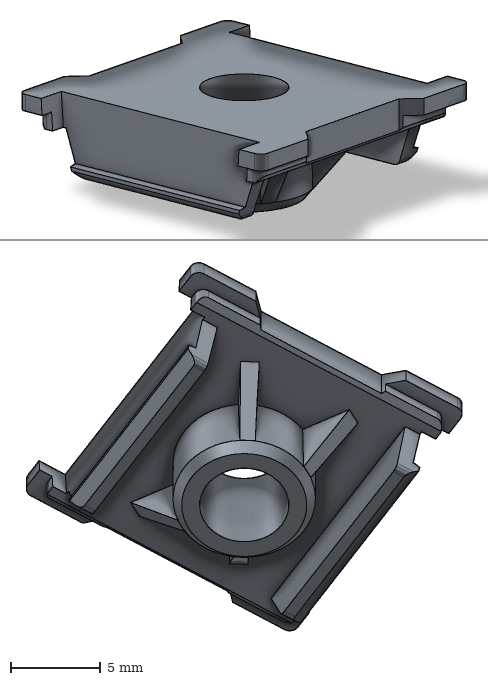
import cadquery as cq
import math

plate_size = 18.0
plate_thickness = 0.99
corner_radius = 0.54
waist_half_width = 8.01
waist_half_length = 4.01
ear_step = plate_size / 2 - waist_half_width

base_size = 16.35
base_depth = 2.09
base_chamfer = 0.4

notch_top_half_width = 7.3
notch_bottom_half_width = 7.16
notch_floor_y = 7.25

snap_bottom_z = -4.9
snap_inner_top_y = 6.26
snap_inner_bottom_y = 6.32
snap_top_half_width = 6.97
snap_bottom_half_width = 5.98
snap_corner_radius = 0.45
lip_y = 7.7
lip_root_z = -4.03
lip_top_z = -4.12
lip_bottom_z = -4.35
lip_toe_y = 7.02

boss_radius = 4.0
boss_bottom_z = -6.25
boss_chamfer_height = 0.61
boss_chamfer_width = 0.49
bore_radius = 2.5
gusset_angle = 30.0
gusset_top_reach = 6.91
gusset_top_thickness = 1.05
gusset_bottom_thickness = 0.86
gusset_bottom_z = boss_bottom_z + boss_chamfer_height


def make_layer(size, depth):
    """Rounded square, waisted on both X sides, from Z = 0 downward."""
    layer = cq.Workplane("XY").rect(size, size).extrude(-depth)
    layer = layer.edges("|Z").fillet(corner_radius)
    outer_x = plate_size / 2
    ear_half_length = waist_half_length + ear_step
    for side in (-1, 1):
        waist = (
            cq.Workplane("XY")
            .moveTo(side * outer_x, -ear_half_length)
            .lineTo(side * waist_half_width, -waist_half_length)
            .lineTo(side * waist_half_width, waist_half_length)
            .lineTo(side * outer_x, ear_half_length)
            .close()
            .extrude(-depth)
        )
        layer = layer.cut(waist)
    return layer


def make_base():
    """Lower layer with its bottom edges chamfered along Y."""
    half = base_size / 2
    chamfered_section = (
        cq.Workplane("XZ")
        .moveTo(-half, 0)
        .lineTo(half, 0)
        .lineTo(half, base_chamfer - base_depth)
        .lineTo(half - base_chamfer, -base_depth)
        .lineTo(base_chamfer - half, -base_depth)
        .lineTo(-half, base_chamfer - base_depth)
        .close()
        .extrude(half, both=True)
    )
    return make_layer(base_size, base_depth).intersect(chamfered_section)


def make_notches():
    """Tapered channel along Y, kept only beyond the two notch floors."""
    channel = (
        cq.Workplane("XZ")
        .moveTo(-notch_top_half_width, 0)
        .lineTo(notch_top_half_width, 0)
        .lineTo(notch_bottom_half_width, -base_depth)
        .lineTo(-notch_bottom_half_width, -base_depth)
        .close()
        .extrude(plate_size / 2, both=True)
    )
    core = cq.Workplane("XY").rect(plate_size, 2 * notch_floor_y).extrude(-base_depth)
    return channel.cut(core)


def make_snap_wall():
    """Hooked wall on the +Y side, trapezoidal along X."""
    hook = (
        cq.Workplane("YZ")
        .moveTo(snap_inner_top_y, -base_depth)
        .lineTo(notch_floor_y, -base_depth)
        .lineTo(notch_floor_y, lip_root_z)
        .lineTo(lip_y, lip_top_z)
        .lineTo(lip_y, lip_bottom_z)
        .lineTo(lip_toe_y, snap_bottom_z)
        .lineTo(snap_inner_bottom_y, snap_bottom_z)
        .close()
        .extrude(snap_top_half_width, both=True)
    )
    face = (
        cq.Workplane("XZ")
        .moveTo(-snap_top_half_width, -base_depth)
        .lineTo(snap_top_half_width, -base_depth)
        .lineTo(snap_bottom_half_width, snap_bottom_z)
        .lineTo(-snap_bottom_half_width, snap_bottom_z)
        .close()
        .extrude(-plate_size / 2)
        .edges("|Y and <Z")
        .fillet(snap_corner_radius)
    )
    return hook.intersect(face)


def make_boss():
    """Turned boss with a coned lower edge."""
    return (
        cq.Workplane("XZ")
        .lineTo(boss_radius, 0)
        .lineTo(boss_radius, gusset_bottom_z)
        .lineTo(boss_radius - boss_chamfer_width, boss_bottom_z)
        .lineTo(0, boss_bottom_z)
        .close()
        .revolve(360, (0, 0, 0), (0, 1, 0))
    )


def make_gusset():
    """Gusset along +X: thinner toward the bottom, with a sloping outer edge."""
    depth = -base_depth - gusset_bottom_z
    side_taper = (gusset_top_thickness - gusset_bottom_thickness) / 2
    draft_angle = math.degrees(math.atan(side_taper / depth))
    blade = (
        cq.Workplane("XY")
        .workplane(offset=-base_depth)
        .rect(plate_size, gusset_top_thickness)
        .extrude(-depth, taper=draft_angle)
    )
    profile = (
        cq.Workplane("XZ")
        .moveTo(0, -base_depth)
        .lineTo(gusset_top_reach, -base_depth)
        .lineTo(boss_radius, gusset_bottom_z)
        .lineTo(0, gusset_bottom_z)
        .close()
        .extrude(gusset_top_thickness, both=True)
    )
    return blade.intersect(profile)


result = make_layer(plate_size, plate_thickness).union(make_base())
result = result.cut(make_notches())

snap_wall = make_snap_wall()
result = result.union(snap_wall).union(snap_wall.mirror("XZ"))

result = result.union(make_boss())
gusset = make_gusset()
for angle in (gusset_angle, 180 - gusset_angle, 180 + gusset_angle, -gusset_angle):
    result = result.union(gusset.rotate((0, 0, 0), (0, 0, 1), angle))

bore = cq.Workplane("XY").circle(bore_radius).extrude(boss_bottom_z)
result = result.cut(bore)